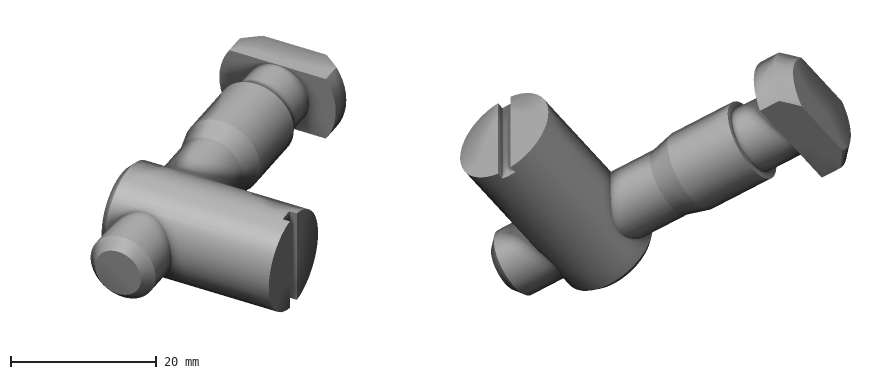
import cadquery as cq


barrel_diameter = 14.7
barrel_length = 26.35
barrel_start_x = -6.3
barrel_chamfer = 1.05
slot_width = 2.1
slot_depth = 1.1

shank_diameter = 10.0
collar_diameter = 11.75
tip_y = -13.6
tip_chamfer = 1.5
cone_length = 3.5
collar_length = 10.0
collar_end_y = 27.45
collar_start_y = collar_end_y - collar_length
shank_end_y = collar_start_y - cone_length

overall_length = 52.7
neck_diameter = 9.7
head_diameter = 17.95
head_width = shank_diameter
head_thickness = 5.15
head_chamfer = 2.0
head_top_y = tip_y + overall_length
head_base_y = head_top_y - head_thickness


def cylinder_along_y(diameter, start_y, end_y):
    """Cylinder on the Y axis between two Y positions."""
    start_plane = cq.Workplane("XZ", origin=(0, start_y, 0))
    return start_plane.circle(diameter / 2).extrude(start_y - end_y)


def make_barrel():
    """Cross barrel with a chamfered end, a driver slot and a bore for the stud."""
    barrel = (
        cq.Workplane("YZ", origin=(barrel_start_x, 0, 0))
        .circle(barrel_diameter / 2)
        .extrude(barrel_length)
        .faces("<X")
        .chamfer(barrel_chamfer)
    )
    slot_center_x = barrel_start_x + barrel_length - slot_depth / 2
    slot = cq.Workplane("XY").box(slot_depth, slot_width, barrel_diameter)
    bore = cylinder_along_y(shank_diameter, -barrel_diameter, barrel_diameter)
    return barrel.cut(slot.translate((slot_center_x, 0, 0))).cut(bore)


def make_stud():
    """Turned stud: chamfered shank, cone and collar, revolved about the Y axis."""
    shank_radius = shank_diameter / 2
    collar_radius = collar_diameter / 2
    return (
        cq.Workplane("XY")
        .moveTo(0, tip_y)
        .lineTo(shank_radius - tip_chamfer, tip_y)
        .lineTo(shank_radius, tip_y + tip_chamfer)
        .lineTo(shank_radius, shank_end_y)
        .lineTo(collar_radius, collar_start_y)
        .lineTo(collar_radius, collar_end_y)
        .lineTo(0, collar_end_y)
        .close()
        .revolve(360, (0, 0), (0, 1))
    )


def make_t_bolt():
    """Round neck with a chamfered disc head that has two parallel flats."""
    disc = cylinder_along_y(head_diameter, head_base_y, head_top_y)
    disc = disc.faces(">Y").chamfer(head_chamfer)
    flats = cq.Workplane("XY").box(head_diameter, 2 * head_top_y, head_width)
    neck = cylinder_along_y(neck_diameter, collar_end_y, head_base_y)
    return disc.intersect(flats).union(neck)


barrel = make_barrel()
stud = make_stud()
t_bolt = make_t_bolt()

bodies = [barrel, stud, t_bolt]
result = cq.Compound.makeCompound([body.solids().val() for body in bodies])